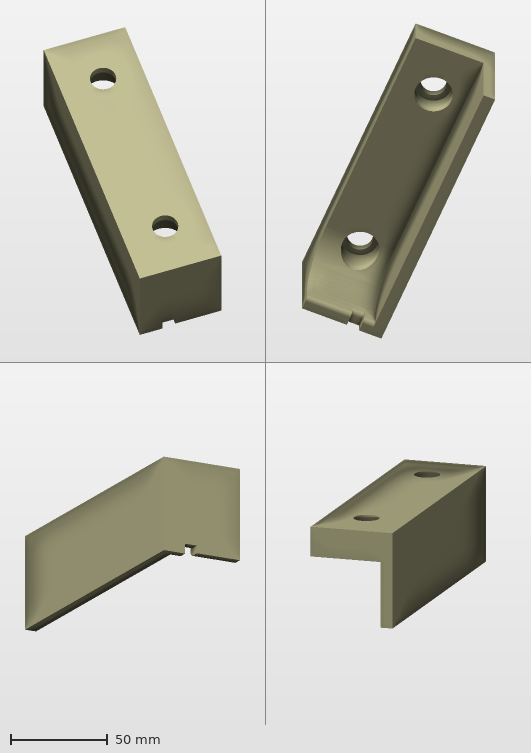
import cadquery as cq

length = 152.4
depth = 44.5
height = 50.7

front_wall = 6.4
end_wall = 7.0
slab = 15.8
arch_radius = 25.3

edge_round = 2.5
notch_start = 12.5
notch_end = 19.4
notch_height = 5.3
rear_clearance = 1.2

hole_diameter = 13.5
counterbore_diameter = 20.0
counterbore_ledge = 4.3
hole_spacing = 98.5
hole_y = 23.2

ceiling = height - slab
end_wall_x = length - end_wall

end_wall_steps = [
    (front_wall, notch_start, 0),
    (notch_start, notch_end, notch_height),
    (notch_end, depth, rear_clearance),
]


def arched_cavity():
    """Space under the slab, open at the -X end, rear and bottom; its roof curves down to the end wall."""
    return (
        cq.Workplane("XZ", origin=(0, front_wall, 0))
        .lineTo(end_wall_x, 0)
        .lineTo(end_wall_x, ceiling - arch_radius)
        .radiusArc((end_wall_x - arch_radius, ceiling), -arch_radius)
        .lineTo(0, ceiling)
        .close()
        .extrude(front_wall - depth)
    )


def end_wall_trim(y_start, y_end, underside):
    """Space below one stretch of the end wall, shaped to round the wall's inner lower edge."""
    below_part = -edge_round
    return (
        cq.Workplane("XZ", origin=(0, y_start, 0))
        .moveTo(end_wall_x, below_part)
        .lineTo(end_wall_x, underside + edge_round)
        .radiusArc((end_wall_x + edge_round, underside), -edge_round)
        .lineTo(length, underside)
        .lineTo(length, below_part)
        .close()
        .extrude(y_start - y_end)
    )


def mounting_hole(x):
    """Through hole, widened from below up to a thin ledge under the top face."""
    center = cq.Workplane("XY").center(x, hole_y)
    hole = center.circle(hole_diameter / 2).extrude(height)
    counterbore = center.circle(counterbore_diameter / 2).extrude(height - counterbore_ledge)
    return hole.union(counterbore)


result = cq.Workplane("XY").box(length, depth, height, centered=False)
result = result.cut(arched_cavity())
for y_start, y_end, underside in end_wall_steps:
    result = result.cut(end_wall_trim(y_start, y_end, underside))
for side in (-1, 1):
    result = result.cut(mounting_hole(length / 2 + side * hole_spacing / 2))